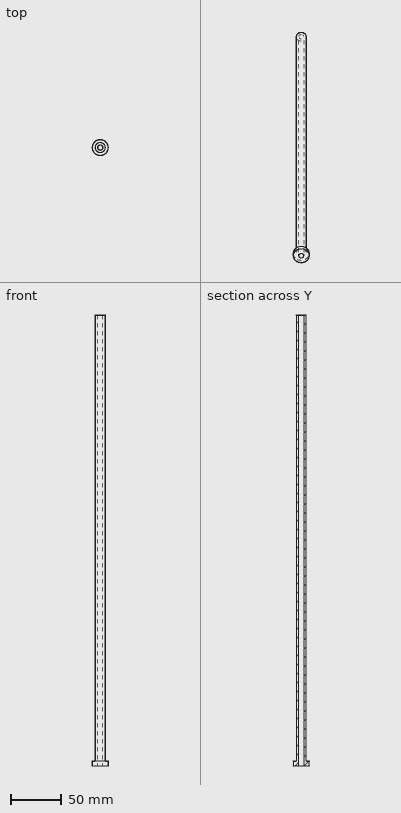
import cadquery as cq

total_length = 450.0
tube_diameter = 10.0
bore_diameter = 5.0
head_diameter = 16.0
head_height = 5.0
neck_fillet_radius = 0.5


def make_head():
    """Round collar that seats the sleeve, with its base on Z = 0."""
    return cq.Workplane("XY").circle(head_diameter / 2).extrude(head_height)


def make_tube():
    """Solid shank running the full length of the sleeve."""
    return cq.Workplane("XY").circle(tube_diameter / 2).extrude(total_length)


def fillet_neck(body):
    """Round the inside corner where the shank meets the top of the head."""
    smallest_circle = cq.selectors.RadiusNthSelector(0)
    return body.faces("<Z[1]").edges(smallest_circle).fillet(neck_fillet_radius)


def cut_bore(body):
    """Bore the sleeve along its axis from end to end."""
    bore = cq.Workplane("XY").circle(bore_diameter / 2).extrude(total_length)
    return body.cut(bore)


sleeve = make_head().union(make_tube())
sleeve = fillet_neck(sleeve)
result = cut_bore(sleeve)